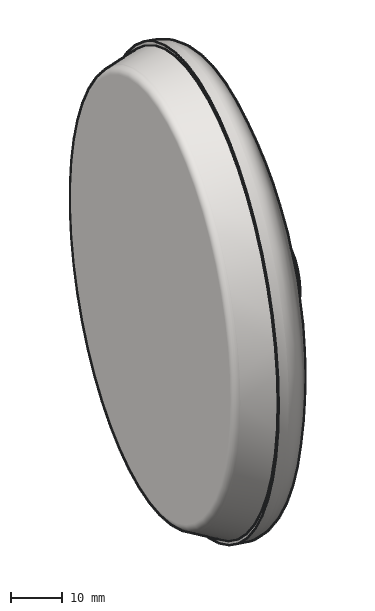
import cadquery as cq
import math

base_edge_height = 1.4
taper_height = 8.0
rim_height = 10.0
shoulder_height = 14.2
dome_height = 22.0
knob_arc_height = 26.4
total_height = 28.2

rim_radius = 98.5 / 2
base_face_radius = 44.0
base_edge_radius = 45.8
taper_radius = 48.5
shoulder_radius = 46.4
knob_radius = 12.5
knob_arc_end_radius = 9.2
knob_top_radius = 7.1

base_edge_bulge = 0.4
knob_bulge = 0.6


def bulged_midpoint(start, end, bulge):
    """Middle of an arc that bulges to the right of the chord from start to end."""
    chord_x = end[0] - start[0]
    chord_y = end[1] - start[1]
    length = math.hypot(chord_x, chord_y)
    return (
        (start[0] + end[0]) / 2 + bulge * chord_y / length,
        (start[1] + end[1]) / 2 - bulge * chord_x / length,
    )


def tangent_arc_bulge(start, end, direction_change):
    """Bulge of an arc whose start tangent makes the given angle with its chord."""
    chord = math.dist(start, end)
    return chord / 2 * math.tan(direction_change / 2)


base_edge_start = (base_face_radius, 0)
base_edge_end = (base_edge_radius, base_edge_height)
rim_top = (rim_radius, rim_height)
shoulder_end = (shoulder_radius, shoulder_height)
knob_base = (knob_radius, dome_height)
knob_arc_end = (knob_arc_end_radius, knob_arc_height)

shoulder_angle = math.atan2(rim_radius - shoulder_radius, shoulder_height - rim_height)
shoulder_bulge = tangent_arc_bulge(rim_top, shoulder_end, shoulder_angle)

dome_angle = math.atan2(dome_height - shoulder_height, shoulder_radius - knob_radius)
dome_bulge = tangent_arc_bulge(shoulder_end, knob_base, dome_angle)

half_section = (
    cq.Workplane("XY")
    .moveTo(0, 0)
    .lineTo(*base_edge_start)
    .threePointArc(bulged_midpoint(base_edge_start, base_edge_end, base_edge_bulge), base_edge_end)
    .lineTo(taper_radius, taper_height)
    .lineTo(rim_radius, taper_height)
    .lineTo(*rim_top)
    .threePointArc(bulged_midpoint(rim_top, shoulder_end, shoulder_bulge), shoulder_end)
    .threePointArc(bulged_midpoint(shoulder_end, knob_base, dome_bulge), knob_base)
    .threePointArc(bulged_midpoint(knob_base, knob_arc_end, knob_bulge), knob_arc_end)
    .lineTo(knob_top_radius, total_height)
    .lineTo(0, total_height)
    .close()
)

result = half_section.revolve(360, (0, 0, 0), (0, 1, 0))